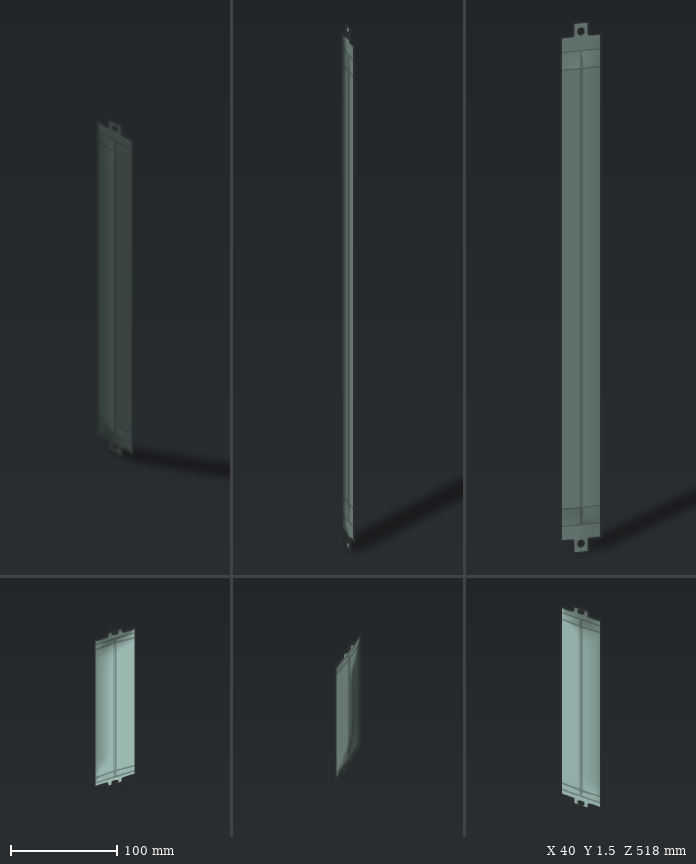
import cadquery as cq

length = 518.0
width = 40.0
depth = 1.5
sheet = 0.5
ridge_rise = depth - sheet
bend_half_width = 0.8

tab_width = 15.0
tab_length = 13.0
tab_fillet = 1.5
hole_diameter = 5.5
hole_inset = 9.0

flat_length = 27.5
ramp_end = 44.5

half_width = width / 2
half_length = length / 2
flat_z = half_length - flat_length
ridge_z = half_length - ramp_end
back_y = depth / 2
base_y = back_y - sheet


def make_flat_end():
    """Flat upper end with shoulders, a narrow tab and a hole."""
    shoulder_z = half_length - tab_length
    shoulder = cq.Workplane("XY").box(width, sheet, shoulder_z - flat_z, centered=(True, False, False))
    tab = cq.Workplane("XY").box(tab_width, sheet, half_length - flat_z, centered=(True, False, False))
    end = shoulder.union(tab)
    inner_corners = cq.selectors.BoxSelector(
        (-tab_width, -sheet, shoulder_z - flat_z - tab_fillet),
        (tab_width, 2 * sheet, shoulder_z - flat_z + tab_fillet),
    )
    end = end.edges("|Y").edges(inner_corners).fillet(tab_fillet)
    end = end.translate((0, base_y, flat_z))
    hole = (
        cq.Workplane("XZ", origin=(0, depth, half_length - hole_inset))
        .circle(hole_diameter / 2)
        .extrude(2 * depth)
    )
    return end.cut(hole)


def sheet_section(rise, z):
    """Closed outline of the sheet at height z: two flat flanks joined by a rounded bend."""
    slope = rise / (half_width - bend_half_width / 2)
    flank_rise = slope * (half_width - bend_half_width)
    bend_y = base_y - flank_rise
    crest_y = base_y - rise
    section = cq.Workplane("XY", origin=(0, 0, z)).moveTo(-half_width, base_y)
    section = section.lineTo(-bend_half_width, bend_y)
    if rise > 0:
        section = section.threePointArc((0, crest_y), (bend_half_width, bend_y))
    else:
        section = section.lineTo(bend_half_width, bend_y)
    section = section.lineTo(half_width, base_y).lineTo(half_width, back_y)
    section = section.lineTo(bend_half_width, bend_y + sheet)
    if rise > 0:
        section = section.threePointArc((0, crest_y + sheet), (-bend_half_width, bend_y + sheet))
    else:
        section = section.lineTo(-bend_half_width, bend_y + sheet)
    return section.lineTo(-half_width, back_y).close()


def make_ridge():
    """Sheet bent along its centre line so that the middle stands out toward -Y."""
    return sheet_section(ridge_rise, -ridge_z).extrude(2 * ridge_z)


def make_ramp():
    """Upper transition from the bent section to the flat end."""
    bent_wire = sheet_section(ridge_rise, ridge_z).wire().val()
    flat_wire = sheet_section(0, flat_z).wire().val()
    return cq.Workplane(obj=cq.Solid.makeLoft([bent_wire, flat_wire], True))


upper_end = make_flat_end().union(make_ramp())
lower_end = upper_end.mirror("XY")
result = make_ridge().union(upper_end).union(lower_end)